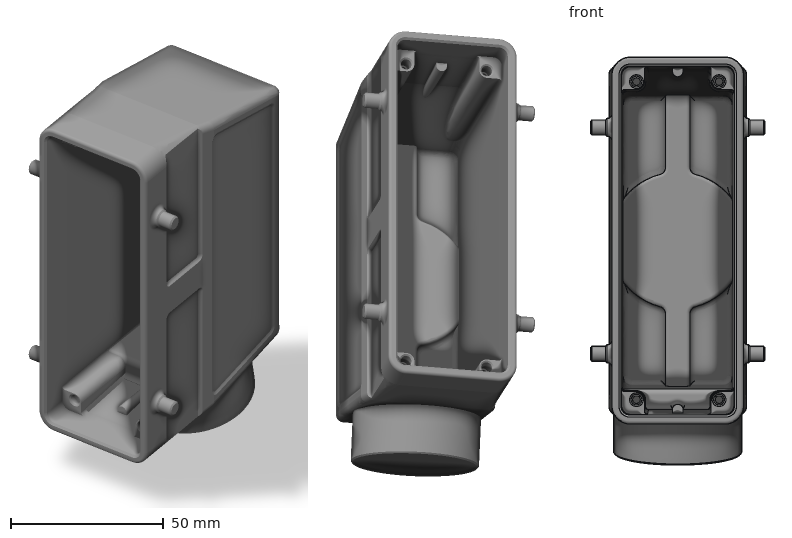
import cadquery as cq
import math


TILT = 11.0
HOOD_DEPTH = 76.2
RIM_WIDTH = 43.0
RIM_HEIGHT = 120.0
RIM_CORNER_RADIUS = 6.0
RIM_ROUNDING = 1.0
COLLAR_END = 11.4
NECK_END = 32.2
NECK_HEIGHT = 115.6
SHOULDER_END = 37.3
REAR_WIDTH = 45.0
REAR_EDGE_RADIUS = 2.5
BACK_EDGE_RADIUS = 2.49
END_SLOPE = math.tan(math.radians(TILT))


def outer_height(y):
    """Outside height of the tilted rear part at depth y."""
    return NECK_HEIGHT - 2 * END_SLOPE * (y - NECK_END)


MOUTH_WIDTH = 37.0
MOUTH_HEIGHT = 114.0
MOUTH_CHAMFER = 0.7
CAVITY_BEND_Y = 12.0
CAVITY_BEND_WIDTH = 36.6
CAVITY_BEND_HEIGHT = 113.5
NECK_END_WALL = 2.3
CAVITY_NECK_Y = 34.0
CAVITY_NECK_WIDTH = 36.2
FLOOR_Y = 73.0
FLOOR_END_WALL = 2.9
FLOOR_WIDTH = 35.6
CAVITY_CORNER_RADIUS = 2.8
FLOOR_FILLET = 1.7

PLATEAU_HEIGHT = 3.2
PLATEAU_FILLET = 1.2
PLATEAU_CORNER_RADIUS = 2.4
DISC_RADIUS = 22.4
RIB_WIDTH = 8.0

STEP_FACE_Y = 34.0
STEP_TOP_Z = -48.5
STEP_TOP_FILLET = 2.0
STEP_FOOT_FILLET = 1.7

POST_FACE_Y = 9.2
POST_RADIUS = 2.6
POST_DRAFT = 0.8
POST_BLOCK = 20.0
POST_ROOT_FILLET = 1.0
SCREW_X = 13.5
SCREW_Z = 52.0
SCREW_MOUTH_DIAMETER = 4.5
SCREW_HOLE_DIAMETER = 3.5
SCREW_HOLE_DEPTH = 6.0
SCREW_TIP_DIAMETER = 2.5
SCREW_TIP_DEPTH = 15.0

STUD_RADIUS = 1.75
STUD_Z = 55.3
STUD_FACE_Y = 17.0
STUD_ROOT_FILLET = 1.3

PIN_SPAN = 57.0
PIN_RADIUS = 2.5
PIN_CHAMFER = 0.5
PIN_COLLAR_RADIUS = 3.0
PIN_COLLAR_SPAN = 47.2
PIN_ROOT_FILLET = 1.5
PIN_Y = 6.5
PIN_Z = 37.0

GRIP_DEPTH = 1.2
GRIP_START_Y = 11.6
GRIP_GAP = 10.6
GRIP_CORNER_RADIUS = 2.0
GRIP_TAPER = 40.0

PANEL_DEPTH = 0.5
PANEL_TAPER = 65.0
PANEL_FRONT_Y = 36.4
PANEL_BACK_Y = 71.9
PANEL_END_MARGIN = 4.4
PANEL_CORNER_RADIUS = 2.5

ENTRY_RADIUS = 21.0
ENTRY_CHAMFER = 0.5
ENTRY_LENGTH = 17.5
ENTRY_END_Y = 56.62
ENTRY_END_Z = -69.53

SIDES = (-1, 1)
OVERLAP = 1.0


def section_plane(y):
    """Plane across the hood at depth y, with local x = X and local y = Z."""
    return cq.Plane(origin=(0, y, 0), xDir=(1, 0, 0), normal=(0, -1, 0))


def side_plane(side, half_width):
    """Outward-facing plane on a side wall, with local x = side * Y and local y = Z."""
    return cq.Plane(origin=(side * half_width, 0, 0), xDir=(0, side, 0), normal=(side, 0, 0))


def rounded_section(y, width, height, radius):
    wire = cq.Workplane(section_plane(y)).rect(width, height).wires().val()
    return wire.fillet2D(radius, wire.Vertices())


def loft_sections(sections):
    """Straight-sided body through rounded sections (depth, width, height, corner radius)."""
    wires = [rounded_section(*section) for section in sections]
    return cq.Workplane(cq.Solid.makeLoft(wires, True))


def concave_root(root_radius, fillet):
    """Ring around the Z axis, standing on Z = 0, that flares a cylinder into a flat face."""
    mid = fillet * (1 - math.sqrt(0.5))
    outer = root_radius + fillet
    return (
        cq.Workplane("XZ")
        .moveTo(0, -OVERLAP)
        .lineTo(outer, -OVERLAP)
        .lineTo(outer, 0)
        .threePointArc((root_radius + mid, mid), (root_radius, fillet))
        .lineTo(0, fillet)
        .close()
        .revolve(360, (0, 0, 0), (0, 1, 0))
    )


def make_shell():
    shell = loft_sections([
        (0, RIM_WIDTH, RIM_HEIGHT, RIM_CORNER_RADIUS),
        (COLLAR_END, RIM_WIDTH, RIM_HEIGHT, RIM_CORNER_RADIUS),
        (NECK_END, RIM_WIDTH, NECK_HEIGHT, REAR_EDGE_RADIUS),
        (SHOULDER_END, REAR_WIDTH, outer_height(SHOULDER_END), REAR_EDGE_RADIUS),
        (HOOD_DEPTH, REAR_WIDTH, outer_height(HOOD_DEPTH), REAR_EDGE_RADIUS),
    ])
    shell = shell.faces(">Y").edges().fillet(BACK_EDGE_RADIUS)
    return shell.faces("<Y").edges().fillet(RIM_ROUNDING)


def make_grip(side, end):
    """Recess beside the neck; it runs out over the hood's end."""
    size_y = NECK_END - GRIP_START_Y
    size_z = RIM_HEIGHT / 2
    middle_y = (GRIP_START_Y + NECK_END) / 2
    outline = (
        cq.Workplane(side_plane(side, RIM_WIDTH / 2))
        .center(side * middle_y, end * (GRIP_GAP + size_z) / 2)
        .sketch()
        .rect(size_y, size_z)
        .vertices()
        .fillet(GRIP_CORNER_RADIUS)
        .finalize()
    )
    return outline.extrude(-GRIP_DEPTH, taper=GRIP_TAPER)


def make_panel(side):
    """Shallow trapezoid whose ends follow the tilted end walls."""
    front_z = outer_height(PANEL_FRONT_Y) / 2 - PANEL_END_MARGIN
    back_z = outer_height(PANEL_BACK_Y) / 2 - PANEL_END_MARGIN
    corners = [
        (side * PANEL_FRONT_Y, -front_z),
        (side * PANEL_BACK_Y, -back_z),
        (side * PANEL_BACK_Y, back_z),
        (side * PANEL_FRONT_Y, front_z),
    ]
    outline = (
        cq.Workplane(side_plane(side, REAR_WIDTH / 2))
        .sketch()
        .polygon(corners + corners[:1])
        .vertices()
        .fillet(PANEL_CORNER_RADIUS)
        .finalize()
    )
    return outline.extrude(-PANEL_DEPTH, taper=PANEL_TAPER)


def make_pin(side, end):
    wall_x = RIM_WIDTH / 2
    collar_length = PIN_COLLAR_SPAN / 2 - wall_x
    pin_length = PIN_SPAN / 2 - wall_x
    pin = cq.Workplane("XY").circle(PIN_RADIUS).extrude(pin_length)
    pin = pin.faces(">Z").chamfer(PIN_CHAMFER)
    collar = cq.Workplane("XY").circle(PIN_COLLAR_RADIUS).extrude(collar_length)
    collar = collar.faces(">Z").chamfer(PIN_COLLAR_RADIUS - PIN_RADIUS)
    pin = pin.union(collar).union(concave_root(PIN_COLLAR_RADIUS, PIN_ROOT_FILLET))
    pin = pin.rotate((0, 0, 0), (0, 1, 0), side * 90)
    return pin.translate((side * wall_x, PIN_Y, end * PIN_Z))


def make_entry():
    """Cable entry, square to the lower end wall."""
    axis = cq.Vector(0, math.sin(math.radians(TILT)), -math.cos(math.radians(TILT)))
    plane = cq.Plane(origin=(0, ENTRY_END_Y, ENTRY_END_Z), xDir=(1, 0, 0), normal=axis.toTuple())
    entry = cq.Workplane(plane).circle(ENTRY_RADIUS).extrude(-ENTRY_LENGTH)
    end_face = cq.selectors.DirectionMinMaxSelector(axis, True)
    return entry.faces(end_face).edges().chamfer(ENTRY_CHAMFER)


def make_plateau():
    """Disc crossed by a lengthwise rib, raised above the cavity floor."""
    top = section_plane(FLOOR_Y - PLATEAU_HEIGHT)
    thickness = PLATEAU_HEIGHT + OVERLAP
    disc = cq.Workplane(top).circle(DISC_RADIUS).extrude(-thickness)
    rib = cq.Workplane(top).rect(RIB_WIDTH, RIM_HEIGHT).extrude(-thickness)
    plateau = disc.union(rib)
    reach_z = DISC_RADIUS + OVERLAP
    inner_corners = cq.selectors.BoxSelector(
        (-RIB_WIDTH, 0, -reach_z), (RIB_WIDTH, HOOD_DEPTH, reach_z))
    plateau = plateau.edges("|Y").edges(inner_corners).fillet(PLATEAU_CORNER_RADIUS)
    return plateau.faces("<Y").edges().fillet(PLATEAU_FILLET)


def make_step():
    """Thickened lower end wall with a rounded top edge and a concave foot."""
    depth = HOOD_DEPTH - STEP_FACE_Y
    drop = RIM_HEIGHT / 2 + STEP_TOP_Z
    step = (
        cq.Workplane("XY")
        .box(RIM_WIDTH, depth, drop, centered=(True, False, False))
        .translate((0, STEP_FACE_Y, -RIM_HEIGHT / 2))
        .edges("|X and <Y and >Z")
        .fillet(STEP_TOP_FILLET)
    )
    wall_z = NECK_END_WALL - outer_height(CAVITY_NECK_Y) / 2
    r = STEP_FOOT_FILLET
    mid = r * (1 - math.sqrt(0.5))
    foot_width = 2 * (SCREW_X - POST_RADIUS) + OVERLAP
    foot = (
        cq.Workplane("YZ")
        .moveTo(STEP_FACE_Y - r, wall_z)
        .threePointArc((STEP_FACE_Y - mid, wall_z + mid), (STEP_FACE_Y, wall_z + r))
        .lineTo(STEP_FACE_Y + OVERLAP, wall_z + r)
        .lineTo(STEP_FACE_Y + OVERLAP, wall_z - OVERLAP)
        .lineTo(STEP_FACE_Y - r, wall_z - OVERLAP)
        .close()
        .extrude(foot_width / 2, both=True)
    )
    return step.union(foot)


def make_post(side, end):
    """Drafted corner post with one rounded edge facing the middle of the cavity."""
    offset = POST_BLOCK / 2 - POST_RADIUS
    outline = (
        cq.Workplane(section_plane(POST_FACE_Y))
        .center(side * (SCREW_X + offset), end * (SCREW_Z + offset))
        .sketch()
        .rect(POST_BLOCK, POST_BLOCK)
        .vertices()
        .fillet(POST_RADIUS)
        .finalize()
    )
    return outline.extrude(POST_FACE_Y - HOOD_DEPTH, taper=-POST_DRAFT)


def fillet_post_roots(cavity):
    """Round the lengthwise edges where the posts meet the side walls and the end walls."""
    reach = 1.5 * POST_ROOT_FILLET
    post_x = SCREW_X - POST_RADIUS
    post_z = SCREW_Z - POST_RADIUS
    wall_x = CAVITY_BEND_WIDTH / 2
    wall_z = CAVITY_BEND_HEIGHT / 2
    roots = []
    for side in SIDES:
        for end in SIDES:
            for x, z in ((wall_x, post_z), (post_x, wall_z)):
                box = cq.selectors.BoxSelector(
                    (side * (x - reach), CAVITY_BEND_Y + reach, end * (z - reach)),
                    (side * (x + reach), CAVITY_NECK_Y, end * (z + reach)))
                roots += cavity.edges(box).vals()
    return cavity.newObject(roots).fillet(POST_ROOT_FILLET)


def make_stud(end):
    """Round-nosed stud joined to the end wall."""
    length = HOOD_DEPTH - STUD_FACE_Y
    nose = cq.Workplane(section_plane(STUD_FACE_Y)).center(0, end * STUD_Z)
    nose = nose.circle(STUD_RADIUS).extrude(-length)
    web_height = RIM_HEIGHT / 2 - STUD_Z
    web = cq.Workplane(section_plane(STUD_FACE_Y)).center(0, end * (STUD_Z + web_height / 2))
    web = web.rect(2 * STUD_RADIUS, web_height).extrude(-length)
    return nose.union(web)


def make_lower_stud_root():
    root = concave_root(STUD_RADIUS, STUD_ROOT_FILLET).rotate((0, 0, 0), (1, 0, 0), 90)
    return root.translate((0, STEP_FACE_Y, -STUD_Z))


def make_cavity():
    """Inside volume of the hood, less everything that stands in it."""
    neck_height = outer_height(CAVITY_NECK_Y) - 2 * NECK_END_WALL
    floor_height = outer_height(FLOOR_Y) - 2 * FLOOR_END_WALL
    flare = 2 * MOUTH_CHAMFER
    cavity = loft_sections([
        (0, MOUTH_WIDTH + flare, MOUTH_HEIGHT + flare, CAVITY_CORNER_RADIUS + MOUTH_CHAMFER),
        (MOUTH_CHAMFER, MOUTH_WIDTH, MOUTH_HEIGHT, CAVITY_CORNER_RADIUS),
        (CAVITY_BEND_Y, CAVITY_BEND_WIDTH, CAVITY_BEND_HEIGHT, CAVITY_CORNER_RADIUS),
        (CAVITY_NECK_Y, CAVITY_NECK_WIDTH, neck_height, CAVITY_CORNER_RADIUS),
        (FLOOR_Y, FLOOR_WIDTH, floor_height, CAVITY_CORNER_RADIUS),
    ])
    cavity = cavity.cut(make_plateau())
    cavity = cavity.faces(">Y").edges().fillet(FLOOR_FILLET)
    for end in SIDES:
        for side in SIDES:
            cavity = cavity.cut(make_post(side, end))
    cavity = fillet_post_roots(cavity)
    cavity = cavity.cut(make_step()).cut(make_lower_stud_root())
    for end in SIDES:
        cavity = cavity.cut(make_stud(end))
    return cavity


def make_screw_hole(side, end):
    """Stepped blind hole with a chamfered mouth."""
    chamfer = (SCREW_MOUTH_DIAMETER - SCREW_HOLE_DIAMETER) / 2
    start = cq.Workplane(section_plane(POST_FACE_Y)).center(side * SCREW_X, end * SCREW_Z)
    tip = start.circle(SCREW_TIP_DIAMETER / 2).extrude(-SCREW_TIP_DEPTH)
    bore = start.circle(SCREW_HOLE_DIAMETER / 2).extrude(-SCREW_HOLE_DEPTH)
    mouth = start.circle(SCREW_MOUTH_DIAMETER / 2).extrude(-chamfer, taper=45)
    return tip.union(bore).union(mouth)


hood = make_shell()
for side in SIDES:
    hood = hood.cut(make_panel(side))
    for end in SIDES:
        hood = hood.cut(make_grip(side, end))
        hood = hood.union(make_pin(side, end))
hood = hood.union(make_entry())
hood = hood.cut(make_cavity())
for side in SIDES:
    for end in SIDES:
        hood = hood.cut(make_screw_hole(side, end))

result = hood